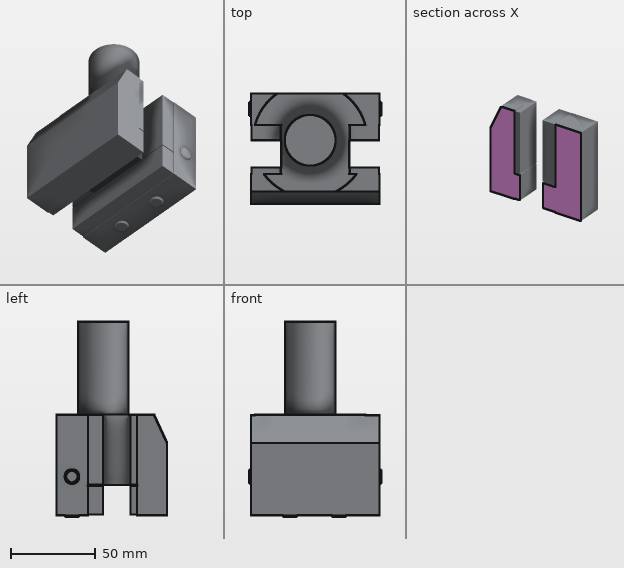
import cadquery as cq

shank_radius = 15.1
shank_length = 55.4

block_left = -35.2
block_width = 76.5
block_right = block_left + block_width
block_back = 27.9
block_depth = 66.0
block_front = block_back - block_depth
block_bottom = -59.9
disc_rise = 0.3
block_top = -disc_rise
bevel_depth = 7.7
bevel_bottom = -16.9
bevel_edge = block_front + bevel_depth

disc_radius = 34.1

channel_back = 9.2
channel_front = -20.1
slot_back = 0.0
slot_front = -16.2
neck_left = -17.2
neck_width = 40.5
neck_right = neck_left + neck_width
neck_bottom = -42.0

plate_inset = 0.3
neck_clearance = 0.5
plate_gap = 0.7
plate_bottom = block_bottom + plate_inset
upper_plate_bottom = neck_bottom + plate_gap / 2
lower_plate_top = neck_bottom - plate_gap / 2
plate_left = block_left + plate_inset
plate_right = block_right - plate_inset

screw_radius = 4.3
screw_height = 1.0
screw_chamfer = 0.8
screw_y = 18.6
side_screw_z = -36.9
bottom_screw_left = -12.0
bottom_screw_spacing = 29.1


def box(x_min, x_max, y_min, y_max, z_min, z_max):
    size = (x_max - x_min, y_max - y_min, z_max - z_min)
    return cq.Workplane("XY").box(*size, centered=False).translate((x_min, y_min, z_min))


def make_block():
    """Bevelled block with a channel cut along X, leaving the upper central neck."""
    profile = [
        (block_back, block_bottom),
        (block_back, block_top),
        (bevel_edge, block_top),
        (block_front, bevel_bottom),
        (block_front, block_bottom),
    ]
    body = cq.Workplane("YZ").workplane(offset=block_left).polyline(profile).close().extrude(block_width)
    channel = box(block_left, block_right, channel_front, channel_back, block_bottom, block_top)
    neck = box(neck_left, neck_right, channel_front, channel_back, neck_bottom, 0)
    return body.cut(channel).union(neck)


def make_disc():
    """Thin disc trimmed to the block's top face and cleared at both sides of the neck."""
    disc = cq.Workplane("XY").workplane(offset=block_top).circle(disc_radius).extrude(disc_rise)
    disc = disc.intersect(box(block_left, block_right, bevel_edge, block_back, block_top, 0))
    side_spans = ((block_left, neck_left), (neck_right, block_right))
    for x_min, x_max in side_spans:
        disc = disc.cut(box(x_min, x_max, channel_front, channel_back, block_top, 0))
    return disc


def make_jaw_plates(y_min, y_max):
    """Two upper plates beside the neck and one long plate below it."""
    left = box(plate_left, neck_left - neck_clearance, y_min, y_max, upper_plate_bottom, block_top)
    right = box(neck_right + neck_clearance, plate_right, y_min, y_max, upper_plate_bottom, block_top)
    lower = box(plate_left, plate_right, y_min, y_max, plate_bottom, lower_plate_top)
    return left.union(right).union(lower)


def make_screw_head(position, direction):
    plane = cq.Plane(origin=position, normal=direction)
    head = cq.Workplane(plane).circle(screw_radius).extrude(screw_height)
    return head.faces(cq.selectors.DirectionMinMaxSelector(cq.Vector(*direction))).chamfer(screw_chamfer)


result = make_block().union(make_disc())
result = result.union(make_jaw_plates(slot_back, channel_back))
result = result.union(make_jaw_plates(channel_front, slot_front))
result = result.union(cq.Workplane("XY").circle(shank_radius).extrude(shank_length))

result = result.union(make_screw_head((block_left, screw_y, side_screw_z), (-1, 0, 0)))
result = result.union(make_screw_head((block_right, screw_y, side_screw_z), (1, 0, 0)))
for index in range(2):
    screw_x = bottom_screw_left + index * bottom_screw_spacing
    result = result.union(make_screw_head((screw_x, screw_y, block_bottom), (0, 0, -1)))